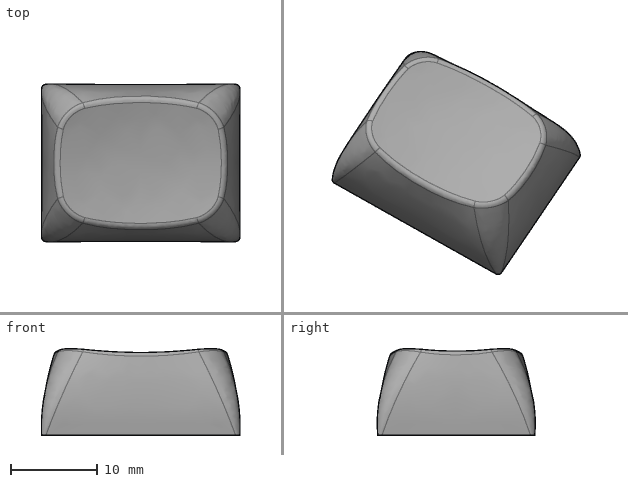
import cadquery as cq

KEY_PITCH = 19.05
KEY_UNITS = 1.25
BASE_DEPTH = 18.2
BASE_WIDTH = KEY_PITCH * KEY_UNITS - (KEY_PITCH - BASE_DEPTH)
BASE_CORNER_RADIUS = 0.5

TOP_INSET = 2.05
TOP_WIDTH = BASE_WIDTH - 2 * TOP_INSET
TOP_DEPTH = BASE_DEPTH - 2 * TOP_INSET
TOP_CORNER_RADIUS = 4.8
TOP_BULGE = 1.7
BODY_HEIGHT = 11.2

MID_INSET = 0.5
MID_WIDTH = BASE_WIDTH - 2 * MID_INSET
MID_DEPTH = BASE_DEPTH - 2 * MID_INSET
MID_HEIGHT = BODY_HEIGHT / 2
MID_CORNER_RADIUS = 2.3

DISH_DEPTH = 2.3
DISH_END_RISE = 1.3
DISH_END_INSET = 2.0
DISH_MID_OVERHANG = 2.0
DISH_MID_DROP = 0.5
CUTTER_HEIGHT = 10.0

RIM_FILLET = 0.65


def rounded_rectangle(width, depth, corner_radius):
    return cq.Sketch().rect(width, depth).vertices().fillet(corner_radius)


def bowed_rectangle():
    """Top outline: four outward arcs joined by rounded corners."""
    side_x = TOP_WIDTH / 2
    side_y = TOP_DEPTH / 2
    corner_x = side_x - TOP_BULGE
    corner_y = side_y - TOP_BULGE
    return (
        cq.Sketch()
        .arc((-corner_x, -corner_y), (-side_x, 0), (-corner_x, corner_y))
        .arc((-corner_x, corner_y), (0, side_y), (corner_x, corner_y))
        .arc((corner_x, corner_y), (side_x, 0), (corner_x, -corner_y))
        .arc((corner_x, -corner_y), (0, -side_y), (-corner_x, -corner_y))
        .assemble()
        .vertices()
        .fillet(TOP_CORNER_RADIUS)
    )


def raised(sketch, height):
    return sketch.moved(cq.Location(cq.Vector(0, 0, height)))


def make_body():
    """Smooth loft from the sharp-cornered base to the rounded top."""
    base = rounded_rectangle(BASE_WIDTH, BASE_DEPTH, BASE_CORNER_RADIUS)
    middle = raised(rounded_rectangle(MID_WIDTH, MID_DEPTH, MID_CORNER_RADIUS), MID_HEIGHT)
    top = raised(bowed_rectangle(), BODY_HEIGHT)
    return cq.Workplane("XY").placeSketch(base, middle, top).loft()


def dish_section(plane, half_span, end_drop, depth):
    """Cross-section of the dish cutter in a YZ plane; v = 0 is the body top."""
    half_top = BASE_DEPTH / 2
    return (
        plane.moveTo(-half_span, -end_drop)
        .threePointArc((0, -depth), (half_span, -end_drop))
        .lineTo(half_top, CUTTER_HEIGHT)
        .lineTo(-half_top, CUTTER_HEIGHT)
        .close()
    )


def make_dish_cutter():
    """Loft along X: shallow narrow arcs at both ends, a deep wide arc in the middle."""
    end_span = BASE_DEPTH / 2 - DISH_END_INSET
    mid_span = BASE_DEPTH / 2 + DISH_MID_OVERHANG
    end_depth = DISH_DEPTH - DISH_END_RISE
    section_spacing = BASE_WIDTH / 2

    cutter = cq.Workplane("YZ", origin=(-section_spacing, 0, BODY_HEIGHT))
    cutter = dish_section(cutter, end_span, 0, end_depth)
    cutter = cutter.workplane(offset=section_spacing)
    cutter = dish_section(cutter, mid_span, DISH_MID_DROP, DISH_DEPTH)
    cutter = cutter.workplane(offset=section_spacing)
    cutter = dish_section(cutter, end_span, 0, end_depth)
    return cutter.loft(combine=False)


def round_rim(body):
    """Round the whole edge between the dish and the walls."""
    dish_middle = (0, 0, BODY_HEIGHT - DISH_DEPTH)
    dish_face = body.faces(cq.selectors.NearestToPointSelector(dish_middle))
    return dish_face.edges().fillet(RIM_FILLET)


dished_body = make_body().cut(make_dish_cutter())
result = round_rim(dished_body)